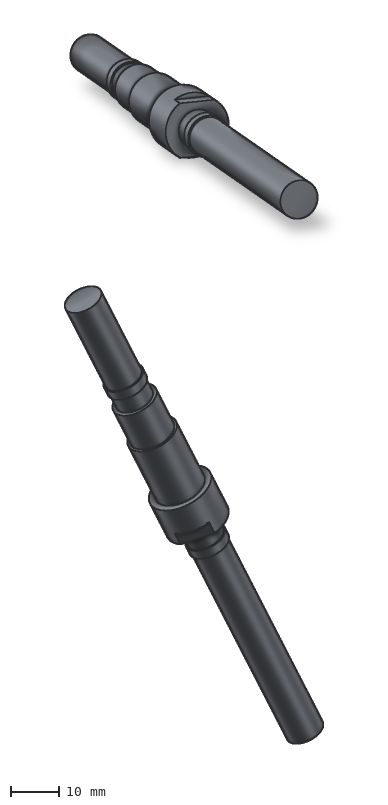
import cadquery as cq

total_length = 120.0
start_x = -total_length / 2

cable_diameter = 8.3
ring_diameter = 9.0
sleeve_diameter = 10.0
body_diameter = 11.2
collar_diameter = 14.0

front_ring_start = 21.7
sleeve_start = 27.8
body_start = 37.3
collar_start = 52.5
collar_end = 61.9
rear_ring_start = 66.0

ring_width = 2.2

flat_length = 3.0
across_flats = 11.8


def cylinder(distance, length, diameter):
    """Cylinder on the X axis, starting at a distance from the -X end."""
    plane = cq.Workplane("YZ", origin=(start_x + distance, 0, 0))
    return plane.circle(diameter / 2).extrude(length)


def collar_with_flats():
    """Collar whose rear end is narrowed by a pair of parallel flats."""
    front_length = collar_end - flat_length - collar_start
    front = cylinder(collar_start, front_length, collar_diameter)
    rear = cylinder(collar_end - flat_length, flat_length, collar_diameter)
    flats_envelope = cq.Workplane("XY").box(total_length, collar_diameter, across_flats)
    return front.union(rear.intersect(flats_envelope))


result = cylinder(0, total_length, cable_diameter)

for ring_start in (front_ring_start, rear_ring_start):
    result = result.union(cylinder(ring_start, ring_width, ring_diameter))

result = result.union(cylinder(sleeve_start, body_start - sleeve_start, sleeve_diameter))
result = result.union(cylinder(body_start, collar_start - body_start, body_diameter))
result = result.union(collar_with_flats())